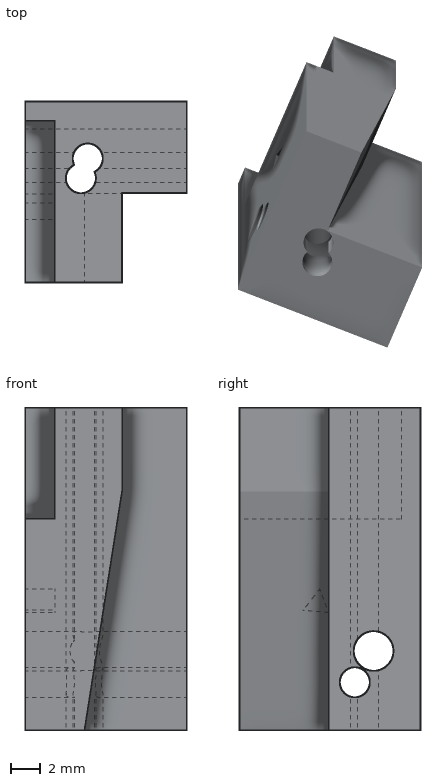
import cadquery as cq

LENGTH_X = 10.85
DEPTH_Y = 12.15
HEIGHT_Z = 21.64

LEG_THICKNESS = 6.5
ARM_FRONT_Y = 6.0

TAPER_START_Z = 16.03
LEG_FOOT_THICKNESS = 3.98

RECESS_DEPTH = 1.98
RECESS_HEIGHT = 7.45
RECESS_WALL = 1.28

CROSS_HOLES = [
    (2.65, 9.0, 5.32),
    (2.0, 7.74, 3.22),
]

VERTICAL_HOLE_DIAMETER = 2.0
VERTICAL_HOLE_CENTERS = [(4.2, 8.32), (3.74, 7.0)]

SOCKET_CORNERS = [(5.37, 9.49), (4.25, 8.07), (5.96, 7.92)]
SOCKET_DEPTH = 2.0


def make_body():
    """L-shaped block, standing on Z = 0 with its -X, -Y corner at the origin."""
    outline = [
        (0, 0),
        (LEG_THICKNESS, 0),
        (LEG_THICKNESS, ARM_FRONT_Y),
        (LENGTH_X, ARM_FRONT_Y),
        (LENGTH_X, DEPTH_Y),
        (0, DEPTH_Y),
    ]
    return cq.Workplane("XY").polyline(outline).close().extrude(HEIGHT_Z)


def make_taper_wedge():
    """Wedge that thins the leg towards its foot, ending flush with the arm front."""
    profile = [
        (LEG_THICKNESS, TAPER_START_Z),
        (LEG_THICKNESS, 0),
        (LEG_FOOT_THICKNESS, 0),
    ]
    return cq.Workplane("XZ").polyline(profile).close().extrude(-ARM_FRONT_Y)


def make_recess():
    """Box open to the top, -X and -Y sides; a thin wall remains on the +Y side."""
    return (
        cq.Workplane("XY", origin=(0, 0, HEIGHT_Z - RECESS_HEIGHT))
        .box(RECESS_DEPTH, DEPTH_Y - RECESS_WALL, RECESS_HEIGHT, centered=False)
    )


def make_cross_hole(diameter, y, z):
    return cq.Workplane("YZ").center(y, z).circle(diameter / 2).extrude(LENGTH_X)


def make_vertical_hole(x, y):
    return cq.Workplane("XY").center(x, y).circle(VERTICAL_HOLE_DIAMETER / 2).extrude(HEIGHT_Z)


def make_socket():
    """Triangular prism running in from the -X face."""
    return cq.Workplane("YZ").polyline(SOCKET_CORNERS).close().extrude(SOCKET_DEPTH)


result = make_body().cut(make_taper_wedge()).cut(make_recess())

for hole_diameter, hole_y, hole_z in CROSS_HOLES:
    result = result.cut(make_cross_hole(hole_diameter, hole_y, hole_z))

for hole_x, hole_y in VERTICAL_HOLE_CENTERS:
    result = result.cut(make_vertical_hole(hole_x, hole_y))

result = result.cut(make_socket())